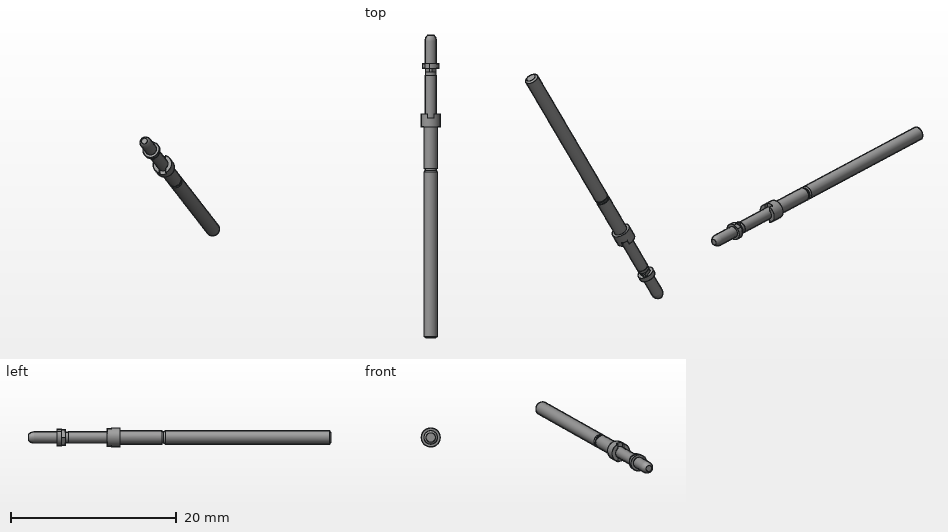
import cadquery as cq
import math

pin_length = 36.5

nose_radius = 1.4 / 2
ring_radius = 2.0 / 2
neck_radius = 1.3 / 2
collar_radius = 2.3 / 2
barrel_radius = 1.65 / 2
groove_radius = 1.4 / 2

tip_length = 0.7
tip_flat_radius = 0.35

ring_start = 3.43
ring_end = 4.0
key_end = 4.45
neck_end = 4.85
collar_start = 9.5
collar_end = 11.05
groove_start = 16.1
groove_floor_end = 16.3
groove_end = 16.55

end_chamfer_length = 0.2
end_chamfer_depth = 0.25

key_half_height = 0.95
key_half_width = 0.65
key_crest_half_width = 0.128

flat_angle = 27.0
flat_depth = 0.055

slot_width = 0.8
slot_length = 0.5


def along(distance):
    """Y coordinate at a distance back from the tip."""
    return pin_length / 2 - distance


def prism(outline, start, end):
    """Extrude a closed XZ outline between two distances from the tip."""
    plane = cq.Workplane("XZ", origin=(0, along(start), 0))
    return plane.polyline(outline).close().extrude(end - start)


def make_turned_body():
    tip_drop = nose_radius - tip_flat_radius
    tip_arc_radius = (tip_length**2 + tip_drop**2) / (2 * tip_drop)
    half_sweep = math.asin(tip_length / tip_arc_radius) / 2
    tip_arc_middle = (
        nose_radius - tip_arc_radius * (1 - math.cos(half_sweep)),
        along(tip_length - tip_arc_radius * math.sin(half_sweep)),
    )
    rear_radius = barrel_radius - end_chamfer_depth
    profile = (
        cq.Workplane("XY")
        .moveTo(0, along(0))
        .lineTo(tip_flat_radius, along(0))
        .threePointArc(tip_arc_middle, (nose_radius, along(tip_length)))
        .lineTo(nose_radius, along(ring_start))
        .lineTo(ring_radius, along(ring_start))
        .lineTo(ring_radius, along(ring_end))
        .lineTo(neck_radius, along(ring_end))
        .lineTo(neck_radius, along(neck_end))
        .lineTo(nose_radius, along(neck_end))
        .lineTo(nose_radius, along(collar_start))
        .lineTo(collar_radius, along(collar_start))
        .lineTo(collar_radius, along(collar_end))
        .lineTo(barrel_radius, along(collar_end))
        .lineTo(barrel_radius, along(groove_start))
        .lineTo(groove_radius, along(groove_start))
        .lineTo(groove_radius, along(groove_floor_end))
        .lineTo(barrel_radius, along(groove_end))
        .lineTo(barrel_radius, along(pin_length - end_chamfer_length))
        .lineTo(rear_radius, along(pin_length))
        .lineTo(0, along(pin_length))
        .close()
    )
    return profile.revolve(360, (0, 0, 0), (0, 1, 0))


def make_neck_gap():
    """Disc cleared between the ring and the neck so the key alone joins them."""
    gap = cq.Workplane("XZ", origin=(0, along(ring_end), 0))
    return gap.circle(ring_radius).extrude(key_end - ring_end)


def make_key():
    """Blunted diamond between the ring and the neck."""
    outline = [
        (key_crest_half_width, key_half_height),
        (key_half_width, 0),
        (key_crest_half_width, -key_half_height),
        (-key_crest_half_width, -key_half_height),
        (-key_half_width, 0),
        (-key_crest_half_width, key_half_height),
    ]
    return prism(outline, ring_end, key_end)


def make_ring_flat():
    """Sliver removed from the ring to leave its flat."""
    width = 2 * ring_radius
    length = ring_end - ring_start
    sliver = cq.Workplane("XY").box(width, length, flat_depth)
    sliver = sliver.translate((0, along(ring_start + length / 2), ring_radius - flat_depth / 2))
    return sliver.rotate((0, 0, 0), (0, 1, 0), -flat_angle)


def make_slots():
    """Opposite slots at +Z and -Z, as deep as the nose surface."""
    slot = cq.Workplane("XY").box(slot_width, slot_length, 2 * collar_radius)
    slot = slot.translate((0, along(collar_start + slot_length / 2), 0))
    core = cq.Workplane("XZ", origin=(0, along(collar_start), 0)).circle(nose_radius).extrude(slot_length)
    return slot.cut(core)


result = (
    make_turned_body()
    .cut(make_neck_gap())
    .union(make_key())
    .cut(make_ring_flat())
    .cut(make_slots())
)